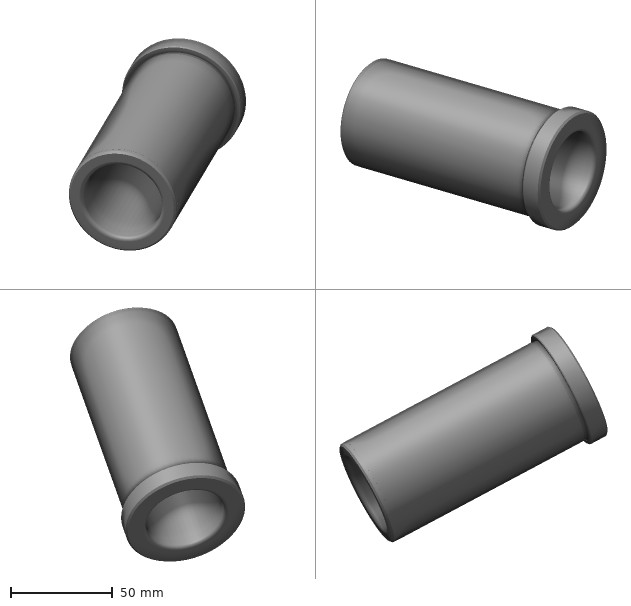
import cadquery as cq

length = 120.0
head_diameter = 61.0
head_length = 10.0
body_diameter = 55.0
bore_diameter = 40.0

head_back_chamfer = 1.0
head_front_chamfer = 0.5
undercut_width = 2.0
undercut_depth = 0.4
face_relief_width = 0.7
face_relief_depth = 0.4
lead_length = 3.0
lead_step = 0.06
end_chamfer = 1.0
bore_rounding = 2.0

head_radius = head_diameter / 2
body_radius = body_diameter / 2
lead_radius = body_radius - lead_step
undercut_radius = body_radius - undercut_depth
face_relief_radius = body_radius + face_relief_width
bore_radius = bore_diameter / 2
mouth_radius = bore_radius + bore_rounding

front_y = -length / 2
back_y = length / 2
head_front_y = back_y - head_length
face_relief_y = head_front_y + face_relief_depth
undercut_front_y = head_front_y - undercut_width
lead_back_y = front_y + lead_length

section = (
    cq.Workplane("XY")
    .moveTo(mouth_radius, front_y)
    .lineTo(lead_radius - end_chamfer, front_y)
    .lineTo(lead_radius, front_y + end_chamfer)
    .lineTo(lead_radius, lead_back_y)
    .lineTo(body_radius, lead_back_y)
    .lineTo(body_radius, undercut_front_y)
    .lineTo(undercut_radius, undercut_front_y)
    .lineTo(undercut_radius, face_relief_y)
    .lineTo(face_relief_radius, face_relief_y)
    .lineTo(face_relief_radius, head_front_y)
    .lineTo(head_radius - head_front_chamfer, head_front_y)
    .lineTo(head_radius, head_front_y + head_front_chamfer)
    .lineTo(head_radius, back_y - head_back_chamfer)
    .lineTo(head_radius - head_back_chamfer, back_y)
    .lineTo(mouth_radius, back_y)
    .radiusArc((bore_radius, back_y - bore_rounding), -bore_rounding)
    .lineTo(bore_radius, front_y + bore_rounding)
    .radiusArc((mouth_radius, front_y), -bore_rounding)
    .close()
)

result = section.revolve(360, (0, 0, 0), (0, 1, 0))